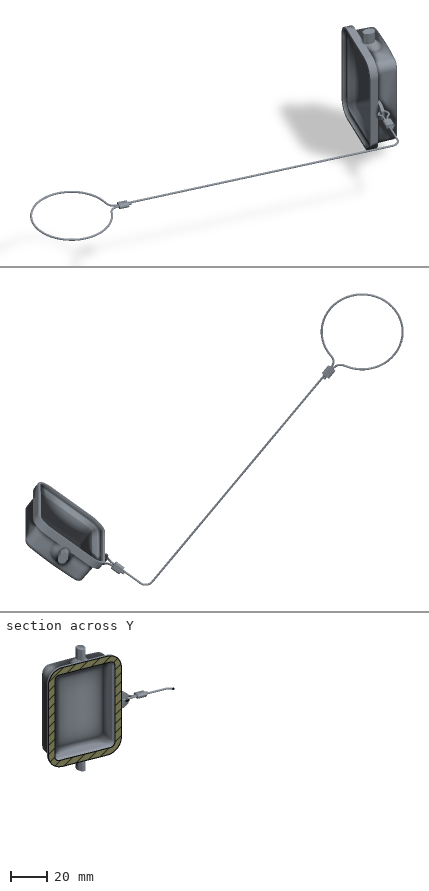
import cadquery as cq
import math

flange_width = 46.5
flange_height = 61.5
flange_depth = 4.5
flange_radius = 9.2

body_width = 40.1
body_height = 54.8
body_back = 18.4
body_radius = 4.8
body_draft = 0.7
back_crown = 1.0
back_fillet = 2.0

lip_thickness = 1.4
recess_depth = 2.3
lead_in_inset = 3.7
cavity_inset = 5.3
cavity_mouth = 4.8
cavity_draft = 1.0
floor_back = 15.4
cavity_radius = 2.8

pin_span = 75.0
pin_width = 4.8
pin_top = 11.0
pin_flat_length = 2.0
pin_bottom = 4.1
pin_bottom_width = 2.0
boss_base_radius = 6.5
boss_top_radius = 2.8
boss_embed = 1.1

tab_reach = 28.5
tab_corner_start = 25.7
tab_base_width = 9.6
tab_tip_width = 5.5
tab_thickness = 1.8
tab_hole_diameter = 1.8
tab_hole_x = 24.8

cord_diameter = 1.1
strand_offset = 0.62
ferrule_length = 5.5
ferrule_width = 5.0
ferrule_thickness = 2.5
tail_length = 2.0
cap_ferrule_x = 34.0
cap_ferrule_y = 6.0
eye_top = (27.8, 9.2)
eye_left_y = 6.2
eye_bottom = (27.0, 3.5)
tab_contact = 0.11
bend_radius = 4.5
ring_ferrule_y = -160.5
total_length = 229.4
total_width = 103.7
ring_outer_radius = 23.0
ring_neck_angle = 13.0

pin_axis = pin_top - pin_width / 2
pin_flat_start = pin_axis - pin_flat_length
ring_x = total_width - flange_width / 2 - ring_outer_radius
ring_y = body_back - total_length + ring_outer_radius
ring_radius = ring_outer_radius - cord_diameter / 2


def tapered_block(y_start, size_start, y_end, size_end, radius):
    """Round-cornered block along Y between two rectangles."""
    start = cq.Sketch().rect(*size_start).vertices().fillet(radius)
    end = cq.Sketch().rect(*size_end).vertices().fillet(radius)
    shift = cq.Location(cq.Vector(0, 0, y_start - y_end))
    base = cq.Workplane("XZ", origin=(0, y_start, 0))
    return base.placeSketch(start, end.moved(shift)).loft()


def crown_limit(crest):
    """Everything in front of a surface crowned across X, with its crest at Y = crest."""
    half = body_width / 2
    return (
        cq.Workplane("XY")
        .moveTo(-half, 0)
        .lineTo(-half, crest - back_crown)
        .threePointArc((0, crest), (half, crest - back_crown))
        .lineTo(half, 0)
        .close()
        .extrude(flange_height / 2, both=True)
    )


def inset(distance):
    """Flange rectangle moved inward by a distance."""
    return flange_width - 2 * distance, flange_height - 2 * distance


def cap_shell():
    flange = tapered_block(0, inset(0), flange_depth, inset(0), flange_radius)
    body_end = (body_width - body_draft, body_height - body_draft)
    body = tapered_block(0, (body_width, body_height), body_back, body_end, body_radius)
    body = body.intersect(crown_limit(body_back)).faces(">Y").edges().fillet(back_fillet)
    return flange.union(body)


def cap_hollow():
    mouth = inset(cavity_inset)
    floor = (mouth[0] - cavity_draft, mouth[1] - cavity_draft)
    recess = tapered_block(
        0, inset(lip_thickness), recess_depth, inset(lip_thickness), flange_radius - lip_thickness
    )
    lead_in = tapered_block(recess_depth, inset(lead_in_inset), cavity_mouth, mouth, cavity_radius)
    cavity = tapered_block(cavity_mouth, mouth, floor_back, floor, cavity_radius)
    return recess.union(lead_in).union(cavity.intersect(crown_limit(floor_back)))


def arch(plane, radius):
    """Arch outline: a half circle on straight legs that stand on the flange."""
    return (
        plane.moveTo(-radius, flange_depth)
        .lineTo(-radius, pin_axis)
        .threePointArc((0, pin_axis + radius), (radius, pin_axis))
        .lineTo(radius, flange_depth)
        .close()
    )


def top_boss():
    base_z = body_height / 2 - body_draft / 2
    top_z = flange_height / 2
    root = arch(cq.Workplane("XY", origin=(0, 0, base_z - boss_embed)), boss_base_radius)
    base = arch(cq.Workplane("XY", origin=(0, 0, base_z)), boss_base_radius)
    slope = arch(base.workplane(offset=top_z - base_z), boss_top_radius).loft(ruled=True)
    return root.extrude(boss_embed).union(slope)


def top_pin():
    half = pin_width / 2
    half_bottom = pin_bottom_width / 2
    base_z = body_height / 2 - boss_embed
    return (
        cq.Workplane("XY", origin=(0, 0, base_z))
        .moveTo(-half_bottom, pin_bottom)
        .lineTo(-half, pin_flat_start)
        .lineTo(-half, pin_axis)
        .threePointArc((0, pin_axis + half), (half, pin_axis))
        .lineTo(half, pin_flat_start)
        .lineTo(half_bottom, pin_bottom)
        .close()
        .extrude(pin_span / 2 - base_z)
    )


def lanyard_tab():
    root_x = body_width / 2 - boss_embed
    half_base = tab_base_width / 2
    half_tip = tab_tip_width / 2
    outline = [
        (root_x, -half_base),
        (tab_corner_start, -half_base),
        (tab_reach, -half_tip),
        (tab_reach, half_tip),
        (tab_corner_start, half_base),
        (root_x, half_base),
    ]
    plane = cq.Workplane("XZ", origin=(0, flange_depth, 0))
    tab = plane.polyline(outline).close().extrude(-tab_thickness)
    hole = plane.center(tab_hole_x, 0).circle(tab_hole_diameter / 2).extrude(-tab_thickness)
    return tab.cut(hole)


def ferrule(plane):
    """Flattened crimp sleeve, extruded along the cord from the given plane."""
    return plane.slot2D(ferrule_width, ferrule_thickness).extrude(ferrule_length)


def lanyard_cord():
    """One round cord: eye through the tab, long straight run, and the ring at the far end."""
    tail_y = cap_ferrule_y + strand_offset
    run_y = cap_ferrule_y - strand_offset
    run_x = ring_x - strand_offset
    tail_x = ring_x + strand_offset
    tail_reach = ferrule_length + tail_length
    cord_start = (cap_ferrule_x + tail_reach, tail_y)

    eye_left = (tab_hole_x - tab_hole_diameter / 2 + cord_diameter / 2 - tab_contact, eye_left_y)
    bend_offset = bend_radius * (1 - math.sqrt(0.5))
    bend_middle = (run_x - bend_offset, run_y - bend_offset)

    neck = math.radians(ring_neck_angle)
    neck_x = ring_radius * math.sin(neck)
    neck_y = ring_y + ring_radius * math.cos(neck)
    neck_slope = (-math.cos(neck), -math.sin(neck))
    rejoin_slope = (-math.cos(neck), math.sin(neck))

    path = (
        cq.Workplane("XY")
        .moveTo(*cord_start)
        .lineTo(cap_ferrule_x, tail_y)
        .spline(
            [eye_top, eye_left, eye_bottom, (cap_ferrule_x, run_y)],
            tangents=[(-1, 0), (1, 0)],
            includeCurrent=True,
        )
        .lineTo(run_x - bend_radius, run_y)
        .threePointArc(bend_middle, (run_x, run_y - bend_radius))
        .lineTo(run_x, ring_ferrule_y)
        .spline([(ring_x - neck_x, neck_y)], tangents=[(0, -1), neck_slope], includeCurrent=True)
        .threePointArc((ring_x, ring_y - ring_radius), (ring_x + neck_x, neck_y))
        .spline([(tail_x, ring_ferrule_y)], tangents=[rejoin_slope, (0, 1)], includeCurrent=True)
        .lineTo(tail_x, ring_ferrule_y + tail_reach)
    )
    section_plane = cq.Plane(origin=(*cord_start, 0), xDir=(0, 0, 1), normal=(-1, 0, 0))
    return cq.Workplane(section_plane).circle(cord_diameter / 2).sweep(path)


cap = cap_shell()
for part in (top_boss(), top_pin()):
    cap = cap.union(part).union(part.mirror("XY"))
cap = cap.union(lanyard_tab()).cut(cap_hollow())

cap_ferrule = ferrule(
    cq.Workplane(cq.Plane((cap_ferrule_x, cap_ferrule_y, 0), xDir=(0, 1, 0), normal=(1, 0, 0)))
)
ring_ferrule = ferrule(
    cq.Workplane(cq.Plane((ring_x, ring_ferrule_y, 0), xDir=(1, 0, 0), normal=(0, 1, 0)))
)

result = cap
for part in (lanyard_cord(), cap_ferrule, ring_ferrule):
    result = result.union(part)